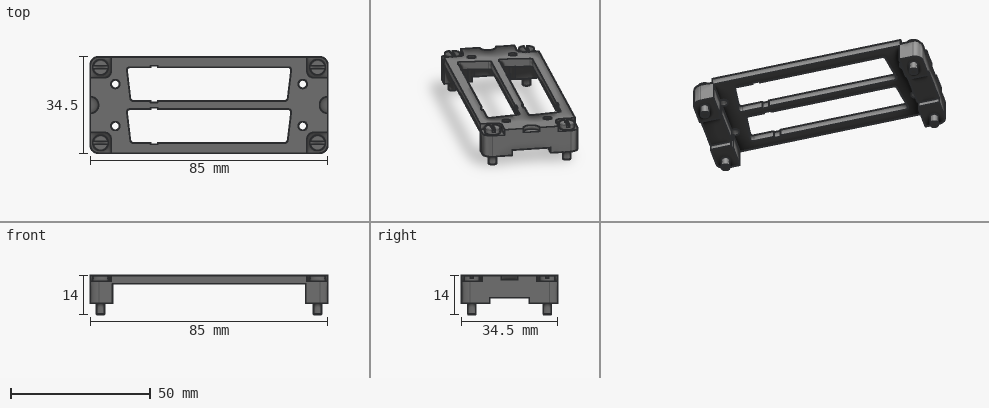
import cadquery as cq

length = 85.0
width = 34.5
corner_radius = 3.0
plate_thickness = 3.0

leg_length = 8.0
frame_height = 10.0
leg_notch_width = 14.0
leg_notch_height = 2.0

recess_size = 7.5
recess_depth = 2.0
recess_radius = 2.5

screw_x = 38.8
screw_y = 13.5
screw_diameter = 3.0
screw_projection = 4.0
screw_tip_chamfer = 0.3
head_diameter = 5.5
head_edge_radius = 0.25
slot_width = 1.0
slot_depth = 1.0

thumb_radius = 3.0
thumb_depth = 1.5

hole_diameter = 3.0
hole_x = 33.5
hole_y = 7.5

window_y = 7.5
window_height = 12.0
window_top_width = 58.9
window_bottom_width = 56.0
window_corner_radius = 1.0
relief_x = -19.65
relief_width = 2.5
relief_depth = 0.5


def box_between(x_range, y_range, z_range):
    """Box spanning the given coordinate ranges."""
    x0, x1 = x_range
    y0, y1 = y_range
    z0, z1 = z_range
    return cq.Workplane("XY").box(x1 - x0, y1 - y0, z1 - z0, centered=False).translate((x0, y0, z0))


def corner_points(x, y):
    """The four points (+-x, +-y)."""
    return [(sx * x, sy * y) for sx in (-1, 1) for sy in (-1, 1)]


def make_frame():
    """Rounded block hollowed underneath into a plate standing on two notched legs."""
    block = (
        cq.Workplane("XY")
        .workplane(offset=-frame_height)
        .rect(length, width)
        .extrude(frame_height)
        .edges("|Z")
        .fillet(corner_radius)
    )
    half_span = length / 2 - leg_length
    between_legs = box_between(
        (-half_span, half_span), (-width / 2, width / 2), (-frame_height, -plate_thickness)
    )
    leg_notch = box_between(
        (-length / 2, length / 2),
        (-leg_notch_width / 2, leg_notch_width / 2),
        (-frame_height, leg_notch_height - frame_height),
    )
    return block.cut(between_legs).cut(leg_notch)


def make_corner_recesses():
    """Square cuts into the four top corners, each with a rounded inner corner."""
    return (
        cq.Workplane("XY")
        .pushPoints(corner_points(length / 2, width / 2))
        .rect(2 * recess_size, 2 * recess_size)
        .extrude(-recess_depth)
        .edges("|Z")
        .fillet(recess_radius)
    )


def make_thumb_recesses():
    """Half-round pockets centred on the two end faces."""
    return (
        cq.Workplane("XY")
        .pushPoints([(-length / 2, 0), (length / 2, 0)])
        .circle(thumb_radius)
        .extrude(-thumb_depth)
    )


def make_holes():
    """Four plain through holes."""
    return (
        cq.Workplane("XY")
        .pushPoints(corner_points(hole_x, hole_y))
        .circle(hole_diameter / 2)
        .extrude(-frame_height)
    )


def make_window(center_y):
    """Tapered opening with rounded corners and a relief in its upper and lower edges."""
    top = center_y + window_height / 2
    bottom = center_y - window_height / 2
    opening = (
        cq.Workplane("XY")
        .polyline(
            [
                (-window_top_width / 2, top),
                (window_top_width / 2, top),
                (window_bottom_width / 2, bottom),
                (-window_bottom_width / 2, bottom),
            ]
        )
        .close()
        .extrude(-plate_thickness)
        .edges("|Z")
        .fillet(window_corner_radius)
    )
    relief = box_between(
        (relief_x - relief_width / 2, relief_x + relief_width / 2),
        (bottom - relief_depth, top + relief_depth),
        (-plate_thickness, 0),
    )
    return opening.union(relief)


def make_screw():
    """Slotted screw on the Z axis, head resting on the recess floor and tip below the legs."""
    tip_z = -frame_height - screw_projection
    shank = (
        cq.Workplane("XY")
        .workplane(offset=tip_z)
        .circle(screw_diameter / 2)
        .extrude(-recess_depth - tip_z)
        .faces("<Z")
        .chamfer(screw_tip_chamfer)
    )
    head = (
        cq.Workplane("XY")
        .workplane(offset=-recess_depth)
        .circle(head_diameter / 2)
        .extrude(recess_depth)
        .faces(">Z")
        .edges()
        .fillet(head_edge_radius)
    )
    slot = box_between(
        (-head_diameter / 2, head_diameter / 2), (-slot_width / 2, slot_width / 2), (-slot_depth, 0)
    )
    return head.cut(slot).union(shank)


result = make_frame().cut(make_corner_recesses()).cut(make_thumb_recesses()).cut(make_holes())
for side in (-1, 1):
    result = result.cut(make_window(side * window_y))

screw = make_screw()
for x, y in corner_points(screw_x, screw_y):
    result = result.union(screw.translate((x, y, 0)))